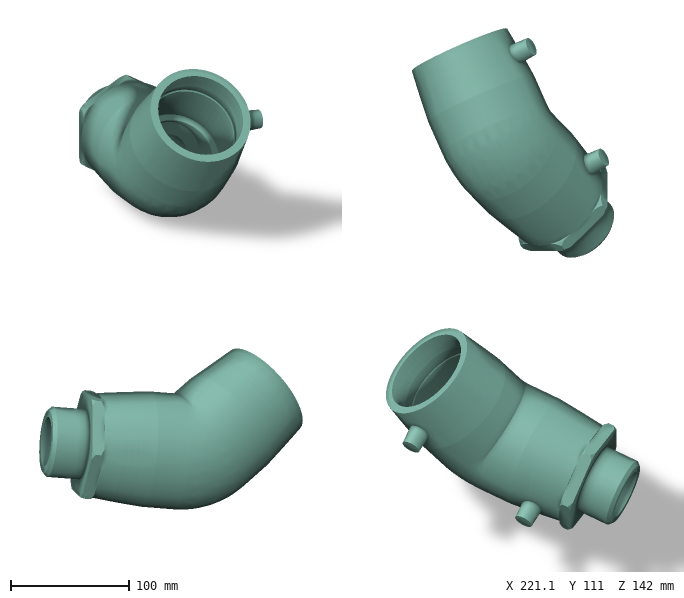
import cadquery as cq
import math

BEND_ANGLE = 45.0
BEND_RADIUS = 33.4
BEND_X = 114.3

BODY_DIAMETER = 98.0
LEG_END_DIAMETER = 88.5
TAPER_MID_DIAMETER = 93.5
STRAIGHT_LENGTH = 28.0
LEG_LENGTH = 73.4

SPIGOT_DIAMETER = 59.7
SPIGOT_CHAMFER = 3.0
SPIGOT_BORE = 41.8
HEX_START = 30.7
HEX_FLATS = 84.6
HEX_CHAMFER_LENGTH = 2.7
HEX_CHAMFER_DEPTH = 2.5

SOCKET_DIAMETER = 75.0
SOCKET_FLOOR = 2.7
BEND_BORE = 63.6
GROOVE_START = 45.3
GROOVE_END = 54.8
GROOVE_DEPTH = 1.5

PIN_TIP_DIAMETER = 16.0
PIN_BASE_DIAMETER = 18.0
OVERALL_WIDTH = 111.0
PIN_TIP_Y = OVERALL_WIDTH - BODY_DIAMETER / 2
PIN_BASE_Y = 44.2
PIN_DISTANCE = 49.0
PIN_LENGTH = PIN_TIP_Y - PIN_BASE_Y

HEX_END = BEND_X - LEG_LENGTH
HEX_CORNERS = HEX_FLATS / math.cos(math.pi / 6)


def to_outlet(shape):
    """Turn a shape from the inlet axis, about the bend corner, onto the outlet axis."""
    corner = (BEND_X, 0, BEND_RADIUS)
    return shape.rotate(corner, (BEND_X, 1, BEND_RADIUS), -BEND_ANGLE)


def revolve_on_x(profile):
    """Revolve a closed XZ profile about the X axis."""
    return profile.close().revolve(360, (0, 0, 0), (1, 0, 0))


def cylinder_on_x(diameter, start, end):
    return cq.Workplane("YZ", origin=(start, 0, 0)).circle(diameter / 2).extrude(end - start)


def leg(direction):
    """Straight barrel with a bulged taper; direction is +1 or -1 along X from the bend."""
    taper_start = BEND_X + direction * STRAIGHT_LENGTH
    leg_end = BEND_X + direction * LEG_LENGTH
    profile = (
        cq.Workplane("XZ")
        .moveTo(BEND_X, 0)
        .lineTo(BEND_X, BODY_DIAMETER / 2)
        .lineTo(taper_start, BODY_DIAMETER / 2)
        .threePointArc(
            ((taper_start + leg_end) / 2, TAPER_MID_DIAMETER / 2),
            (leg_end, LEG_END_DIAMETER / 2),
        )
        .lineTo(leg_end, 0)
    )
    return revolve_on_x(profile)


def sweep_bend(section):
    """Revolve a YZ section at the start of the bend through the bend angle."""
    return section.revolve(BEND_ANGLE, (0, BEND_RADIUS, 0), (-1, BEND_RADIUS, 0))


def outer_bend():
    """Only the part of the round section below the bend axis is revolved."""
    radius = BODY_DIAMETER / 2
    half_chord = math.sqrt(radius**2 - BEND_RADIUS**2)
    section = (
        cq.Workplane("YZ", origin=(BEND_X, 0, 0))
        .moveTo(-half_chord, BEND_RADIUS)
        .threePointArc((0, -radius), (half_chord, BEND_RADIUS))
        .close()
    )
    return sweep_bend(section)


def hexagon():
    """Hexagon with corners up and down, its corners chamfered on both faces."""
    blank = (
        cq.Workplane("YZ", origin=(HEX_START, 0, 0))
        .polygon(6, HEX_CORNERS)
        .extrude(HEX_END - HEX_START)
        .rotate((0, 0, 0), (1, 0, 0), 90)
    )
    corner_radius = HEX_CORNERS / 2
    face_radius = corner_radius - HEX_CHAMFER_DEPTH
    chamfer_profile = (
        cq.Workplane("XZ")
        .moveTo(HEX_START, 0)
        .lineTo(HEX_START, face_radius)
        .lineTo(HEX_START + HEX_CHAMFER_LENGTH, corner_radius)
        .lineTo(HEX_END - HEX_CHAMFER_LENGTH, corner_radius)
        .lineTo(HEX_END, face_radius)
        .lineTo(HEX_END, 0)
    )
    return blank.intersect(revolve_on_x(chamfer_profile))


def spigot():
    return cylinder_on_x(SPIGOT_DIAMETER, 0, HEX_START).faces("<X").chamfer(SPIGOT_CHAMFER)


def pin(direction):
    """Tapered pin pointing to +Y, slightly sunk into the barrel."""
    return (
        cq.Workplane("XZ", origin=(BEND_X + direction * PIN_DISTANCE, PIN_BASE_Y, 0))
        .circle(PIN_BASE_DIAMETER / 2)
        .workplane(offset=-PIN_LENGTH)
        .circle(PIN_TIP_DIAMETER / 2)
        .loft()
    )


def socket():
    """Outlet socket with a groove that widens inward and ends in a small shoulder."""
    radius = SOCKET_DIAMETER / 2
    profile = (
        cq.Workplane("XZ")
        .moveTo(BEND_X + SOCKET_FLOOR, 0)
        .lineTo(BEND_X + SOCKET_FLOOR, radius)
        .lineTo(BEND_X + GROOVE_START, radius)
        .lineTo(BEND_X + GROOVE_START, radius + GROOVE_DEPTH)
        .lineTo(BEND_X + GROOVE_END, radius)
        .lineTo(BEND_X + LEG_LENGTH, radius)
        .lineTo(BEND_X + LEG_LENGTH, 0)
    )
    return to_outlet(revolve_on_x(profile))


result = leg(-1).union(outer_bend()).union(to_outlet(leg(1)))
result = result.union(hexagon()).union(spigot())
result = result.union(pin(-1)).union(to_outlet(pin(1)))

bend_bore = sweep_bend(cq.Workplane("YZ", origin=(BEND_X, 0, 0)).circle(BEND_BORE / 2))
socket_neck = to_outlet(cylinder_on_x(BEND_BORE, BEND_X, BEND_X + SOCKET_FLOOR))
result = result.cut(bend_bore).cut(socket_neck).cut(socket())
result = result.cut(cylinder_on_x(SPIGOT_BORE, 0, BEND_X))